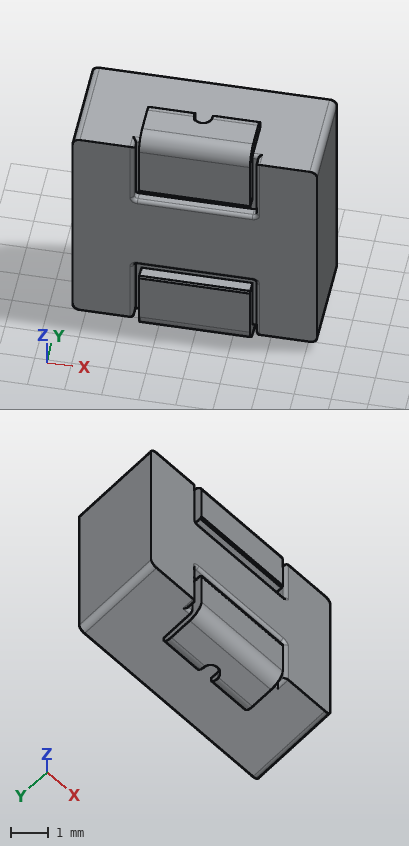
import cadquery as cq

total_height = 7.1
total_depth = 2.8

strip_thickness = 0.35
foot_protrusion = 0.05
terminal_width = 2.995
foot_length = 1.96
foot_chamfer_depth = 0.04
foot_chamfer_height = 0.06
tail_length = 1.45
tail_round = 0.3
notch_radius = 0.25
notch_depth = 0.5

body_width = 6.6
body_depth = total_depth - foot_protrusion
body_height = total_height - 2 * strip_thickness
body_corner_radius = 0.2

edge_round = 0.1
pocket_width = 3.3
pocket_height = 2.0
pocket_depth = strip_thickness - foot_protrusion
pocket_corner_radius = 0.1

body_top = body_height / 2
foot_front = -foot_protrusion
terminal_top = total_height / 2
bend_radius = strip_thickness + edge_round

selection_margin = 0.001


def make_body():
    """Block with rounded front-to-back corner edges, spanning Y = 0 to body_depth."""
    block = cq.Workplane("XY").box(body_width, body_depth, body_height)
    return block.edges("|Y").fillet(body_corner_radius).translate((0, body_depth / 2, 0))


def make_pocket():
    """Volume removed for the upper foot; its inner corners are rounded."""
    pocket = cq.Workplane("XY").box(pocket_width, pocket_depth, pocket_height)
    pocket = pocket.edges("|Y and <Z").fillet(pocket_corner_radius)
    return pocket.translate((0, pocket_depth / 2, body_top - pocket_height / 2))


def is_rim(edge):
    """True for a pocket edge lying in the front face or in an end face."""
    box = edge.BoundingBox()
    in_front = box.ymax < selection_margin
    in_end = min(abs(box.zmin), abs(box.zmax)) > body_top - selection_margin
    inside_width = max(-box.xmin, box.xmax) < pocket_width / 2 + selection_margin
    return inside_width and (in_front or in_end) and box.ymax < pocket_depth + selection_margin


def mirrored(shape):
    """Copy of a shape reflected to the lower end of the part."""
    return shape.mirror("XY")


def make_terminal():
    """Upper terminal: foot in the pocket, bend over the edge, tail on the end face."""
    foot_end = terminal_top - foot_length
    foot_back = foot_front + strip_thickness
    tail_end = foot_front + tail_length
    strip = (
        cq.Workplane("YZ")
        .moveTo(foot_back, foot_end)
        .lineTo(foot_front + foot_chamfer_depth, foot_end)
        .lineTo(foot_front, foot_end + foot_chamfer_height)
        .lineTo(foot_front, terminal_top - bend_radius)
        .radiusArc((foot_front + bend_radius, terminal_top), bend_radius)
        .lineTo(tail_end - tail_round, terminal_top)
        .radiusArc((tail_end, terminal_top - tail_round), tail_round)
        .lineTo(tail_end, body_top)
        .lineTo(foot_back + edge_round, body_top)
        .radiusArc((foot_back, body_top - edge_round), -edge_round)
        .close()
        .extrude(terminal_width / 2, both=True)
    )
    notch = (
        cq.Workplane("XY", origin=(0, tail_end, body_top))
        .slot2D(2 * notch_depth, 2 * notch_radius, 90)
        .extrude(strip_thickness)
    )
    return strip.cut(notch)


pocket = make_pocket()
body = make_body().cut(pocket).cut(mirrored(pocket))
rim_edges = [edge for edge in body.edges().vals() if is_rim(edge)]
body = body.newObject(rim_edges).fillet(edge_round)

terminal = make_terminal()
result = body.union(terminal).union(mirrored(terminal))